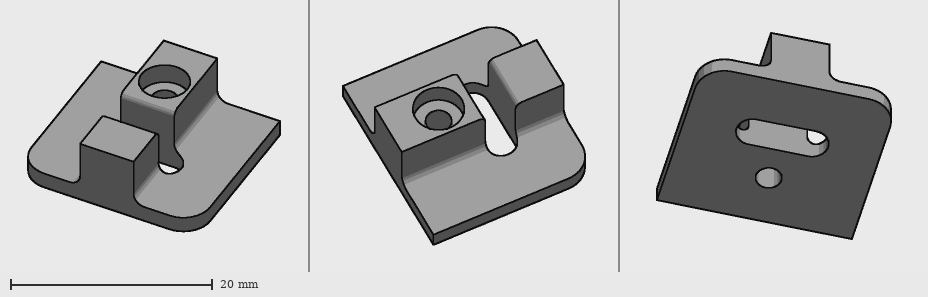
import cadquery as cq

plate_width = 20
plate_depth = 18
plate_thickness = 1.8
corner_radius = 3

total_height = 7.2
rib_width = 6
rib_root_radius = 1.2

slot_length = 9.4
slot_width = 3.32
slot_center_y = 7.05
slot_edge_radius = 0.8

hole_center_y = 12.4
hole_diameter = 2.6
counterbore_diameter = 5.1
counterbore_depth = 2.2


def make_plate():
    """Flat plate with its two front corners rounded."""
    plate = cq.Workplane("XY").box(
        plate_width, plate_depth, plate_thickness, centered=(True, False, False)
    )
    return plate.edges("|Z and <Y").fillet(corner_radius)


def make_rib():
    """Rib whose sides flare into the plate through concave arcs."""
    half_width = rib_width / 2
    root_half_width = half_width + rib_root_radius
    root_top = plate_thickness + rib_root_radius
    profile = (
        cq.Workplane("XZ")
        .moveTo(-root_half_width, 0)
        .lineTo(root_half_width, 0)
        .lineTo(root_half_width, plate_thickness)
        .radiusArc((half_width, root_top), rib_root_radius)
        .lineTo(half_width, total_height)
        .lineTo(-half_width, total_height)
        .lineTo(-half_width, root_top)
        .radiusArc((-root_half_width, plate_thickness), rib_root_radius)
        .close()
    )
    return profile.extrude(-plate_depth)


def cut_slot(body):
    """Cut the slot and round the top rib edges on both sides of it."""
    slot = (
        cq.Workplane("XY")
        .center(0, slot_center_y)
        .slot2D(slot_length, slot_width)
        .extrude(total_height)
    )
    body = body.cut(slot)
    for side in (-1, 1):
        edge_point = (0, slot_center_y + side * slot_width / 2, total_height)
        edge = cq.selectors.NearestToPointSelector(edge_point)
        body = body.edges(edge).fillet(slot_edge_radius)
    return body


def cut_screw_hole(body):
    """Drill the counterbored hole down from the top of the rib."""
    return (
        body.faces(">Z")
        .workplane(origin=(0, hole_center_y, total_height))
        .cboreHole(hole_diameter, counterbore_diameter, counterbore_depth)
    )


result = cut_screw_hole(cut_slot(make_plate().union(make_rib())))